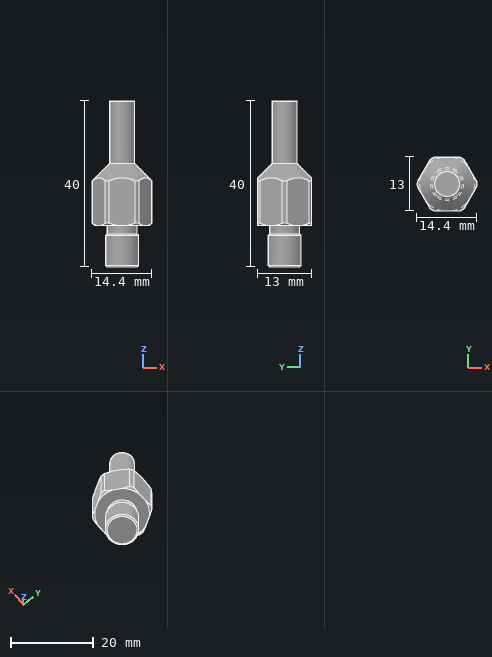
import cadquery as cq
import math

total_height = 40.0
hex_bottom = 10.0
cone_top = 25.0
neck_height = 2.0

pin_diameter = 6.0
hex_across_flats = 13.0
hex_corner_diameter = 14.4
neck_diameter = 7.2
stud_diameter = 8.0

stud_chamfer = 0.4
hex_chamfer_width = 0.6
hex_chamfer_height = 0.6

pin_radius = pin_diameter / 2
corner_radius = hex_corner_diameter / 2
stud_top = hex_bottom - neck_height
cone_bottom = cone_top - (corner_radius - pin_radius)


def cylinder(diameter, bottom, top):
    return cq.Workplane("XY").workplane(offset=bottom).circle(diameter / 2).extrude(top - bottom)


def hex_body():
    """Hexagon with corners along X, trimmed by a turned envelope."""
    across_corners = hex_across_flats / math.cos(math.radians(30))
    prism = (
        cq.Workplane("XY")
        .workplane(offset=hex_bottom)
        .polygon(6, across_corners)
        .extrude(cone_top - hex_bottom)
    )
    envelope = (
        cq.Workplane("XZ")
        .moveTo(0, hex_bottom)
        .lineTo(corner_radius - hex_chamfer_width, hex_bottom)
        .lineTo(corner_radius, hex_bottom + hex_chamfer_height)
        .lineTo(corner_radius, cone_bottom)
        .lineTo(pin_radius, cone_top)
        .lineTo(0, cone_top)
        .close()
        .revolve(360, (0, 0, 0), (0, 1, 0))
    )
    return prism.intersect(envelope)


pin = cylinder(pin_diameter, cone_top, total_height)
neck = cylinder(neck_diameter, stud_top, hex_bottom)
stud = cylinder(stud_diameter, 0, stud_top).faces("<Z or >Z").chamfer(stud_chamfer)

result = hex_body().union(pin).union(neck).union(stud)